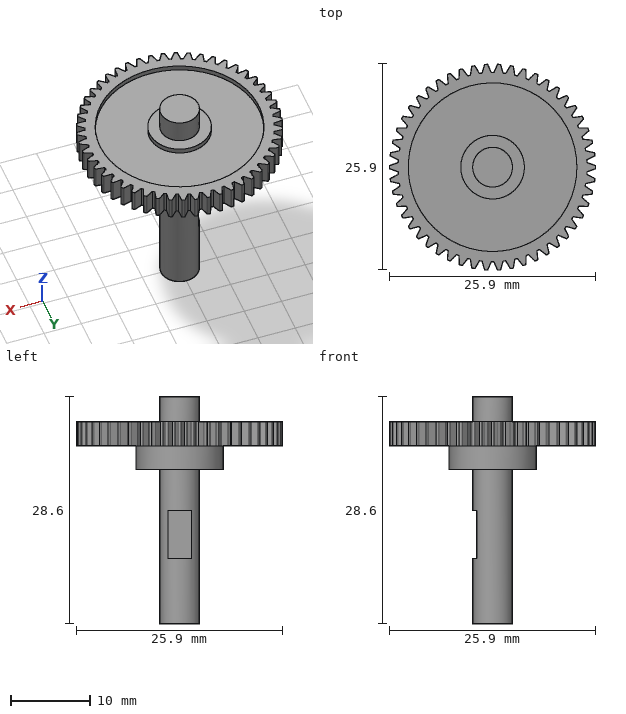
import cadquery as cq
import math

shaft_length = 28.6
shaft_diameter = 5.0

tooth_count = 50
tip_diameter = 25.95
root_diameter = 23.82
tip_width = 0.4
root_gap_width = 0.31
tip_corner_radius = 0.1
wheel_thickness = 3.03
wheel_top = 25.43
wheel_bottom = wheel_top - wheel_thickness

recess_diameter = 21.22
boss_diameter = 8.0
recess_depth = 0.7

hub_diameter = 11.0
hub_height = 3.0

flat_bottom = 8.25
flat_length = 6.0
flat_depth = 0.5


def polar_point(radius, angle):
    """Return the XY point at a radius and an angle in radians."""
    return (radius * math.cos(angle), radius * math.sin(angle))


def toothed_disc():
    """Disc with straight-flanked teeth; the first tooth points along +X."""
    tip_radius = tip_diameter / 2
    root_radius = root_diameter / 2
    pitch_angle = 2 * math.pi / tooth_count
    tip_half_angle = tip_width / 2 / tip_radius
    root_half_angle = (pitch_angle - root_gap_width / root_radius) / 2

    outline = cq.Workplane("XY").workplane(offset=wheel_bottom)
    outline = outline.moveTo(*polar_point(root_radius, -root_half_angle))
    for tooth in range(tooth_count):
        middle = tooth * pitch_angle
        next_gap = middle + pitch_angle / 2
        next_tooth_start = middle + pitch_angle - root_half_angle
        outline = (
            outline.lineTo(*polar_point(tip_radius, middle - tip_half_angle))
            .threePointArc(
                polar_point(tip_radius, middle),
                polar_point(tip_radius, middle + tip_half_angle),
            )
            .lineTo(*polar_point(root_radius, middle + root_half_angle))
            .threePointArc(
                polar_point(root_radius, next_gap),
                polar_point(root_radius, next_tooth_start),
            )
        )
    disc = outline.close().extrude(wheel_thickness)

    middle_radius = (tip_radius + root_radius) / 2
    tip_edges = disc.edges("|Z").filter(
        lambda edge: math.hypot(edge.Center().x, edge.Center().y) > middle_radius
    )
    return tip_edges.fillet(tip_corner_radius)


def cylinder(diameter, bottom, height):
    """Cylinder on the shaft axis."""
    return cq.Workplane("XY").workplane(offset=bottom).circle(diameter / 2).extrude(height)


def wheel_recess():
    """Ring removed from the upper face of the wheel."""
    floor = wheel_top - recess_depth
    ring = cq.Workplane("XY").workplane(offset=floor)
    return ring.circle(recess_diameter / 2).circle(boss_diameter / 2).extrude(recess_depth)


def shaft_flat():
    """Block that cuts the flat into the shaft."""
    block = cq.Workplane("XY").box(
        shaft_diameter, shaft_diameter, flat_length, centered=(False, True, False)
    )
    flat_x = flat_depth - shaft_diameter / 2
    return block.translate((flat_x - shaft_diameter, 0, flat_bottom))


wheel = toothed_disc().cut(wheel_recess())
hub = cylinder(hub_diameter, wheel_bottom - hub_height, hub_height)
shaft = cylinder(shaft_diameter, 0, shaft_length).cut(shaft_flat())

result = wheel.union(hub).union(shaft)